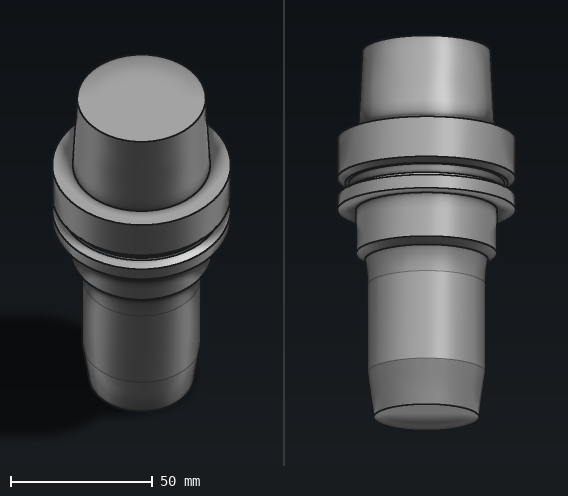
import cadquery as cq

nose_top = 16.3
shank_top = 48.2
neck_top = 57.5
collar_chamfer_top = 59.7
collar_top = 75.6
lower_rim_top = 80.4
groove_bottom = 82.0
groove_top = 85.5
upper_rim_bottom = 87.1
flange_top = 101.7
total_height = 133.6

nose_radius = 18.7
shank_radius = 42.0 / 2
neck_top_radius = 21.8
collar_radius = 50.0 / 2
flange_radius = 63.0 / 2
groove_radius = 55.0 / 2
groove_ledge_radius = 28.7
taper_base_radius = 24.3
taper_top_radius = 22.7

profile = (
    cq.Workplane("XZ")
    .lineTo(nose_radius, 0)
    .lineTo(shank_radius, nose_top)
    .lineTo(shank_radius, shank_top)
    .tangentArcPoint((neck_top_radius, neck_top), relative=False)
    .lineTo(collar_radius, collar_chamfer_top)
    .lineTo(collar_radius, collar_top)
    .lineTo(flange_radius, collar_top)
    .lineTo(flange_radius, lower_rim_top)
    .lineTo(groove_ledge_radius, groove_bottom)
    .lineTo(groove_radius, groove_bottom)
    .lineTo(groove_radius, groove_top)
    .lineTo(groove_ledge_radius, groove_top)
    .lineTo(flange_radius, upper_rim_bottom)
    .lineTo(flange_radius, flange_top)
    .lineTo(taper_base_radius, flange_top)
    .lineTo(taper_top_radius, total_height)
    .lineTo(0, total_height)
    .close()
)

result = profile.revolve(360, (0, 0), (0, 1))